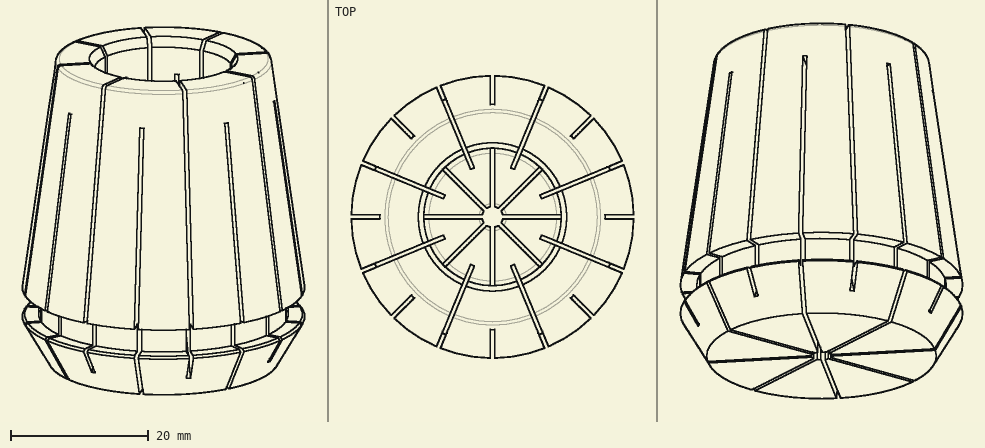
import cadquery as cq
import math

TOTAL_HEIGHT = 46.0
MAX_RADIUS = 20.55

NOSE_ANGLE = 30.0
NOSE_BOTTOM_RADIUS = 16.7
NOSE_HEIGHT = (MAX_RADIUS - NOSE_BOTTOM_RADIUS) / math.tan(math.radians(NOSE_ANGLE))
NOSE_EDGE_CHAMFER = 0.35

GROOVE_RADIUS = 18.15
GROOVE_BOTTOM = NOSE_HEIGHT + NOSE_EDGE_CHAMFER
GROOVE_TOP = 11.1

TAPER_ANGLE = 8.0
TOP_RADIUS = MAX_RADIUS - (TOTAL_HEIGHT - GROOVE_TOP) * math.tan(math.radians(TAPER_ANGLE))
TOP_EDGE_FILLET = 0.5

BORE_RADIUS = 10.0
BORE_FLOOR = 22.0
BORE_FLOOR_FILLET = 0.7
BORE_MOUTH_RADIUS = 10.8
BORE_MOUTH_DEPTH = 1.4
HOLE_RADIUS = 1.5
HOLE_EDGE_FILLET = 0.5

SLOT_COUNT = 8
SLOT_WIDTH = 0.6
SLOT_PITCH = 360.0 / SLOT_COUNT
SLOT_OVERRUN = 1.0
LOWER_SLOT_TOP = 40.5
UPPER_SLOT_BOTTOM = 3.0
UPPER_SLOT_INNER_RADIUS = 7.6


def make_body():
    """Turned outside shape of the collet, without any bore."""
    profile = [
        (0, 0),
        (NOSE_BOTTOM_RADIUS, 0),
        (MAX_RADIUS, NOSE_HEIGHT),
        (MAX_RADIUS - NOSE_EDGE_CHAMFER, GROOVE_BOTTOM),
        (GROOVE_RADIUS, GROOVE_BOTTOM),
        (GROOVE_RADIUS, GROOVE_TOP),
        (MAX_RADIUS, GROOVE_TOP),
        (TOP_RADIUS, TOTAL_HEIGHT),
        (0, TOTAL_HEIGHT),
    ]
    body = cq.Workplane("XZ").polyline(profile).close().revolve(360, (0, 0), (0, 1))
    return body.faces(">Z").edges().fillet(TOP_EDGE_FILLET)


def make_bore():
    """Stepped bore: wide blind bore with a flared mouth, and a through hole in its floor."""
    bore = (
        cq.Workplane("XY", origin=(0, 0, BORE_FLOOR))
        .circle(BORE_RADIUS)
        .extrude(TOTAL_HEIGHT - BORE_FLOOR)
        .faces("<Z").edges().fillet(BORE_FLOOR_FILLET)
    )
    mouth_profile = [
        (0, TOTAL_HEIGHT - BORE_MOUTH_DEPTH),
        (BORE_RADIUS, TOTAL_HEIGHT - BORE_MOUTH_DEPTH),
        (BORE_MOUTH_RADIUS, TOTAL_HEIGHT),
        (0, TOTAL_HEIGHT),
    ]
    mouth = cq.Workplane("XZ").polyline(mouth_profile).close().revolve(360, (0, 0), (0, 1))
    round_start = BORE_FLOOR - HOLE_EDGE_FILLET
    round_center = HOLE_RADIUS + HOLE_EDGE_FILLET
    round_offset = HOLE_EDGE_FILLET * math.sqrt(0.5)
    hole = (
        cq.Workplane("XZ")
        .moveTo(0, 0)
        .lineTo(HOLE_RADIUS, 0)
        .lineTo(HOLE_RADIUS, round_start)
        .threePointArc(
            (round_center - round_offset, round_start + round_offset),
            (round_center, BORE_FLOOR),
        )
        .lineTo(0, BORE_FLOOR)
        .close()
        .revolve(360, (0, 0), (0, 1))
    )
    return bore.union(mouth).union(hole)


def radial_blade(profile):
    """Thin cutter along +X from a closed outline of (radius, height) points."""
    return cq.Workplane("XZ").polyline(profile).close().extrude(SLOT_WIDTH / 2, both=True)


def lower_slot():
    """Slot open at the bottom, from the axis outward, with a level top end."""
    outside = MAX_RADIUS + SLOT_OVERRUN
    return radial_blade([
        (0, -SLOT_OVERRUN),
        (outside, -SLOT_OVERRUN),
        (outside, LOWER_SLOT_TOP),
        (0, LOWER_SLOT_TOP),
    ])


def upper_slot():
    """Slot open at the top, with a floor that falls from the bore floor to the nose cone."""
    outside = MAX_RADIUS + SLOT_OVERRUN
    above = TOTAL_HEIGHT + SLOT_OVERRUN
    exit_radius = NOSE_BOTTOM_RADIUS + UPPER_SLOT_BOTTOM * math.tan(math.radians(NOSE_ANGLE))
    floor_slope = (BORE_FLOOR - UPPER_SLOT_BOTTOM) / (exit_radius - UPPER_SLOT_INNER_RADIUS)
    outside_height = UPPER_SLOT_BOTTOM - floor_slope * (outside - exit_radius)
    return radial_blade([
        (UPPER_SLOT_INNER_RADIUS, BORE_FLOOR),
        (outside, outside_height),
        (outside, above),
        (UPPER_SLOT_INNER_RADIUS, above),
    ])


collet = make_body().cut(make_bore())
for index in range(SLOT_COUNT):
    angle = index * SLOT_PITCH
    collet = collet.cut(lower_slot().rotate((0, 0, 0), (0, 0, 1), angle))
    collet = collet.cut(upper_slot().rotate((0, 0, 0), (0, 0, 1), angle + SLOT_PITCH / 2))

result = collet